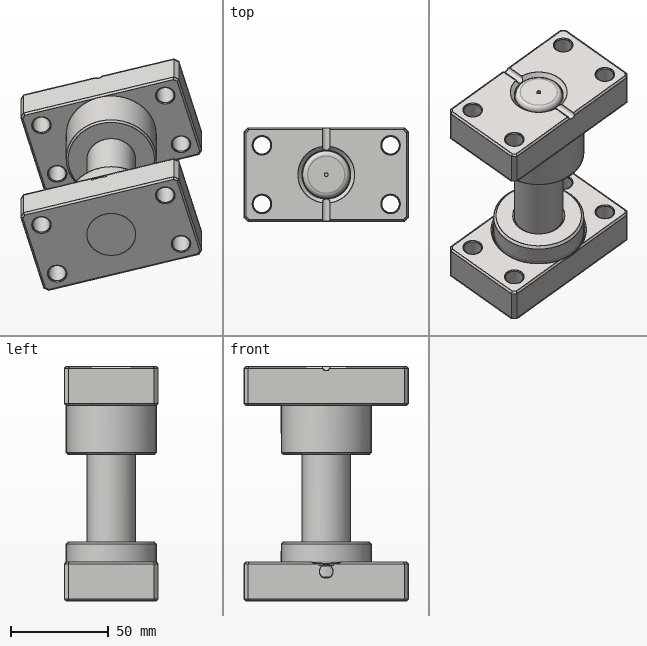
import cadquery as cq

total_height = 120.2

plate_length = 84.0
plate_width = 48.0
plate_thickness = 20.0
plate_corner_chamfer = 2.0
plate_edge_chamfer = 1.0

bolt_hole_diameter = 9.0
bolt_hole_chamfer = 0.5
bolt_spacing_x = 65.9
bolt_spacing_y = 30.0

boss_radius = 23.1
top_boss_height = 25.0
top_boss_chamfer = 1.0
base_boss_height = 10.3
base_boss_chamfer = 1.2

relief_radius = 23.8
relief_depth = 1.8
relief_chamfer = 0.6

pillar_radius = 12.5
pillar_tip_radius = 12.1
pillar_tip_length = 3.6
pillar_tip_fillet = 2.6
pillar_stand_out = 0.1
center_hole_diameter = 1.9
center_hole_depth = 1.9

screw_hole_diameter = 7.0
screw_height = 15.2
groove_floor_radius = 10.1
groove_floor_height = 5.5
groove_flank = 1.2

top_bore_chamfer = 2.0
base_bore_chamfer = 0.8

vent_radius = 2.0

top_holder_top = total_height - pillar_stand_out
top_plate_bottom = top_holder_top - plate_thickness
relief_floor = plate_thickness - relief_depth
base_boss_top = plate_thickness + base_boss_height


def make_plate(bottom):
    """Flange plate with chamfered corners and edges, resting at the given height."""
    return (
        cq.Workplane("XY", origin=(0, 0, bottom))
        .box(plate_length, plate_width, plate_thickness, centered=(True, True, False))
        .edges("|Z")
        .chamfer(plate_corner_chamfer)
        .faces("<Z or >Z")
        .chamfer(plate_edge_chamfer)
    )


def drill_bolt_holes(body, bottom):
    """Cut the four mounting holes, chamfered at both mouths, through a plate."""
    radius = bolt_hole_diameter / 2
    mouth = radius + bolt_hole_chamfer
    top = bottom + plate_thickness
    cutter = (
        cq.Workplane("XZ")
        .moveTo(0, bottom)
        .lineTo(mouth, bottom)
        .lineTo(radius, bottom + bolt_hole_chamfer)
        .lineTo(radius, top - bolt_hole_chamfer)
        .lineTo(mouth, top)
        .lineTo(0, top)
        .close()
        .revolve(360, (0, 0), (0, 1))
    )
    for x in (-bolt_spacing_x / 2, bolt_spacing_x / 2):
        for y in (-bolt_spacing_y / 2, bolt_spacing_y / 2):
            body = body.cut(cutter.translate((x, y, 0)))
    return body


def cut_pillar_bore(body, mouth_height, mouth_chamfer):
    """Bore the pillar hole right through, widened by a cone at the mouth."""
    bore = cq.Workplane("XY").circle(pillar_radius).extrude(total_height)
    cone = cq.Workplane(
        cq.Solid.makeCone(
            pillar_radius,
            pillar_radius + mouth_chamfer,
            mouth_chamfer,
            pnt=cq.Vector(0, 0, mouth_height - mouth_chamfer),
        )
    )
    return body.cut(bore).cut(cone)


def make_top_holder():
    """Flange plate with a round boss below, the pillar bore and a vent groove on top."""
    boss = (
        cq.Workplane("XY", origin=(0, 0, top_plate_bottom))
        .circle(boss_radius)
        .extrude(-top_boss_height)
        .faces("<Z")
        .chamfer(top_boss_chamfer)
    )
    holder = make_plate(top_plate_bottom).union(boss)
    holder = drill_bolt_holes(holder, top_plate_bottom)
    holder = cut_pillar_bore(holder, top_holder_top, top_bore_chamfer)
    vent = (
        cq.Workplane("XZ", origin=(0, 0, top_holder_top))
        .circle(vent_radius)
        .extrude(plate_width / 2, both=True)
    )
    return holder.cut(vent)


def make_base_relief():
    """Ring-shaped recess around the boss root."""
    return (
        cq.Workplane("XZ")
        .moveTo(boss_radius, plate_thickness)
        .lineTo(relief_radius + relief_chamfer, plate_thickness)
        .lineTo(relief_radius, plate_thickness - relief_chamfer)
        .lineTo(relief_radius, relief_floor)
        .lineTo(boss_radius, relief_floor)
        .close()
        .revolve(360, (0, 0), (0, 1))
    )


def make_base_holder():
    """Flange plate with a low boss above, the pillar bore and a set screw hole from the front."""
    boss = (
        cq.Workplane("XY", origin=(0, 0, relief_floor))
        .circle(boss_radius)
        .extrude(base_boss_top - relief_floor)
        .faces(">Z")
        .chamfer(base_boss_chamfer)
    )
    holder = make_plate(0).cut(make_base_relief()).union(boss)
    holder = drill_bolt_holes(holder, 0)
    holder = cut_pillar_bore(holder, base_boss_top, base_bore_chamfer)
    screw_hole = (
        cq.Workplane("XZ", origin=(0, 0, screw_height))
        .circle(screw_hole_diameter / 2)
        .extrude(plate_width / 2)
    )
    return holder.cut(screw_hole)


def make_pillar():
    """Round pillar with a rounded tip, a center hole and a groove for the set screw."""
    pillar = (
        cq.Workplane("XY")
        .circle(pillar_radius)
        .extrude(total_height - pillar_tip_length)
        .faces(">Z")
        .workplane()
        .circle(pillar_tip_radius)
        .extrude(pillar_tip_length)
        .faces(">Z")
        .edges()
        .fillet(pillar_tip_fillet)
    )
    center_hole = (
        cq.Workplane("XY", origin=(0, 0, total_height))
        .circle(center_hole_diameter / 2)
        .extrude(-center_hole_depth)
    )
    half_floor = groove_floor_height / 2
    half_mouth = half_floor + groove_flank
    groove = (
        cq.Workplane("XZ")
        .moveTo(pillar_radius, screw_height - half_mouth)
        .lineTo(groove_floor_radius, screw_height - half_floor)
        .lineTo(groove_floor_radius, screw_height + half_floor)
        .lineTo(pillar_radius, screw_height + half_mouth)
        .close()
        .revolve(360, (0, 0), (0, 1))
    )
    return pillar.cut(center_hole).cut(groove)


top_holder = make_top_holder()
base_holder = make_base_holder()
pillar = make_pillar()

result = cq.Compound.makeCompound([top_holder.val(), base_holder.val(), pillar.val()])